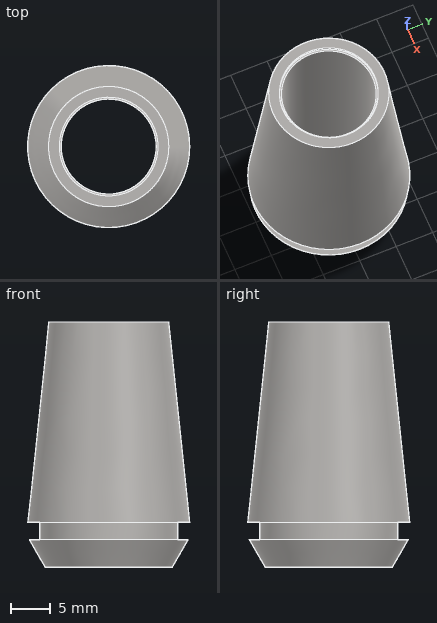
import cadquery as cq

height = 31.0

body_base_radius = 10.245
body_top_radius = 7.6
body_base_z = 5.67

groove_radius = 8.75
nose_top_z = 3.5
nose_top_radius = 10.05
nose_bottom_radius = 8.03

bore_radius = 5.98
counterbore_radius = 6.23
counterbore_depth = 0.4

result = (
    cq.Workplane("XZ")
    .moveTo(bore_radius, 0)
    .lineTo(nose_bottom_radius, 0)
    .lineTo(nose_top_radius, nose_top_z)
    .lineTo(groove_radius, nose_top_z)
    .lineTo(groove_radius, body_base_z)
    .lineTo(body_base_radius, body_base_z)
    .lineTo(body_top_radius, height)
    .lineTo(counterbore_radius, height)
    .lineTo(counterbore_radius, height - counterbore_depth)
    .lineTo(bore_radius, height - counterbore_depth)
    .close()
    .revolve(360, (0, 0, 0), (0, 1, 0))
)